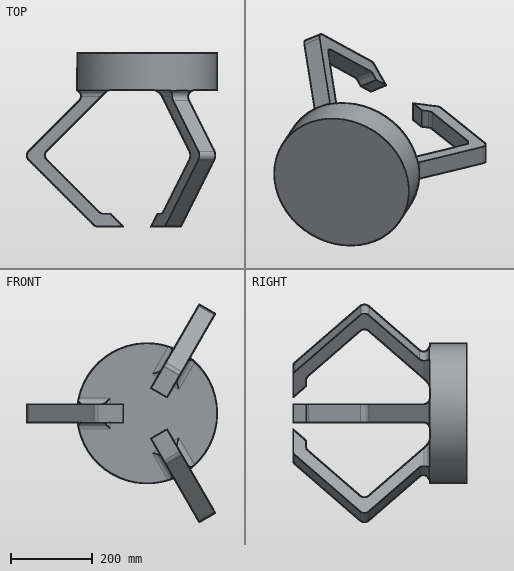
import cadquery as cq

palm_radius = 171.5
palm_thickness = 90.5
slab_radius = 2 * palm_radius

finger_count = 3
finger_width = 45.0
limb_span = 44.5
knuckle_radius = 300.0
knuckle_depth = 159.5
finger_depth = 334.0
pad_thickness = 32.0
pad_tip_radius = 58.0
bend_radius = 15.0
root_fillet = 15.0


def limb_outer_radius(depth):
    """Radial position of the outer side of the 45 degree limbs at a depth."""
    return knuckle_radius - abs(depth - knuckle_depth)


def make_finger():
    """One finger reaching out along -X and forward along -Y."""
    pad_depth = finger_depth - pad_thickness
    outline = [
        (limb_outer_radius(0), 0),
        (knuckle_radius, knuckle_depth),
        (limb_outer_radius(finger_depth), finger_depth),
        (pad_tip_radius, finger_depth),
        (pad_tip_radius + pad_thickness, pad_depth),
        (limb_outer_radius(pad_depth) - limb_span, pad_depth),
        (knuckle_radius - limb_span, knuckle_depth),
        (limb_outer_radius(0) - limb_span, 0),
    ]
    points = [(-radius, -depth) for radius, depth in outline]
    finger = cq.Workplane("XY").polyline(points).close().extrude(finger_width / 2, both=True)

    for index in (1, 2, 5, 6):
        x, y = points[index]
        corner = cq.selectors.NearestToPointSelector((x, y, 0))
        finger = finger.edges("|Z").edges(corner).fillet(bend_radius)
    return finger


def make_slab():
    """Oversized palm blank, which leaves room for complete root fillets."""
    return cq.Workplane("XZ").circle(slab_radius).extrude(-palm_thickness)


def fillet_root(hand):
    """Fillet the edges where the finger along -X meets the palm face."""
    outer = limb_outer_radius(0)
    inner = outer - limb_span
    half_width = finger_width / 2
    margin = 0.5
    root_edges = cq.selectors.BoxSelector(
        (-outer - margin, -margin, -half_width - margin),
        (-inner + margin, margin, half_width + margin),
        boundingbox=True,
    )
    return hand.edges(root_edges).fillet(root_fillet)


def trim_to_palm(hand):
    """Cut the slab and the overhanging root fillets back to the palm rim."""
    ring = (
        cq.Workplane("XZ", origin=(0, palm_thickness, 0))
        .circle(slab_radius)
        .circle(palm_radius)
        .extrude(palm_thickness + root_fillet)
    )
    return hand.cut(ring)


hand = make_slab()
finger = make_finger()
for _ in range(finger_count):
    hand = fillet_root(hand.union(finger))
    hand = hand.rotate((0, 0, 0), (0, 1, 0), 360 / finger_count)
result = trim_to_palm(hand)